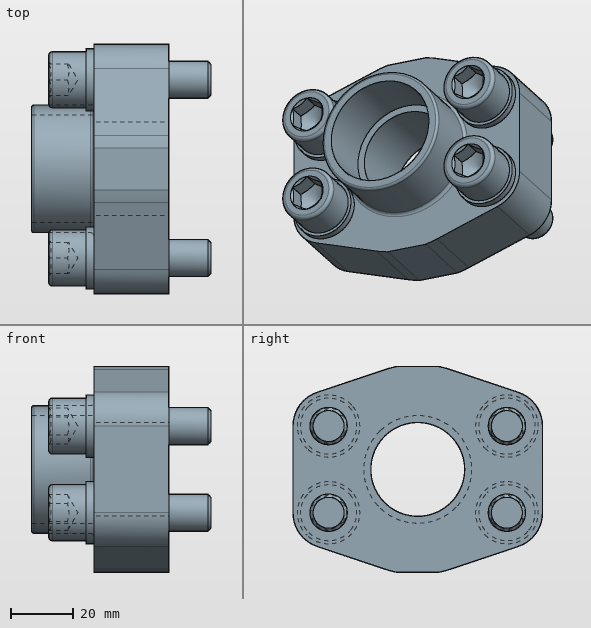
import cadquery as cq
import math

plate_thickness = 24.0
plate_width = 80.0
plate_height = 66.0
crown_radius = 33.7

neck_length = 20.0
neck_diameter = 41.0
neck_tip_fillet = 0.8
neck_root_fillet = 1.0
bore_diameter = 30.0
socket_diameter = 34.6

screw_pitch_y = 57.1
screw_pitch_z = 27.8
washer_diameter = 20.0
washer_thickness = 2.5
head_diameter = 18.0
head_height = 12.0
head_fillet = 1.2
shank_diameter = 12.0
shank_projection = 13.5
shank_chamfer = 1.0

key_across_flats = 10.0
key_depth = 6.0
key_mouth_angle = 90.0
key_tip_angle = 120.0

half_width = plate_width / 2
half_height = plate_height / 2
screw_y = screw_pitch_y / 2
screw_z = screw_pitch_z / 2
corner_radius = half_width - screw_y
key_corner_radius = key_across_flats / 2 / math.cos(math.radians(30))

head_seat_x = -washer_thickness
head_face_x = head_seat_x - head_height


def cylinder(diameter, start_x, end_x, y=0.0, z=0.0):
    """Solid cylinder along X, from start_x to end_x."""
    return (
        cq.Workplane("YZ", origin=(start_x, y, z))
        .circle(diameter / 2)
        .extrude(end_x - start_x)
    )


def cone(base_radius, base_x, length, y, z):
    """Solid cone along X that narrows from base_radius at base_x to a point."""
    solid = cq.Solid.makeCone(base_radius, 0, length, cq.Vector(base_x, y, z), cq.Vector(1, 0, 0))
    return cq.Workplane(obj=solid)


def make_plate():
    """Plate with corner arcs around the screws and crown arcs joined by tangent lines."""
    centre_distance = math.hypot(screw_y, screw_z)
    centre_angle = math.atan2(screw_z, screw_y)
    normal_angle = centre_angle + math.acos((crown_radius - corner_radius) / centre_distance)

    def on_corner(angle):
        return (screw_y + corner_radius * math.cos(angle), screw_z + corner_radius * math.sin(angle))

    def on_crown(angle):
        return (crown_radius * math.cos(angle), crown_radius * math.sin(angle))

    flat_angle = math.asin(half_height / crown_radius)
    quarter = (
        cq.Workplane("YZ")
        .lineTo(half_width, 0)
        .lineTo(half_width, screw_z)
        .threePointArc(on_corner(normal_angle / 2), on_corner(normal_angle))
        .lineTo(*on_crown(normal_angle))
        .threePointArc(on_crown((normal_angle + flat_angle) / 2), on_crown(flat_angle))
        .lineTo(0, half_height)
        .close()
        .extrude(plate_thickness)
    )
    upper_half = quarter.union(quarter.mirror("XZ"))
    return upper_half.union(upper_half.mirror("XY")).clean()


def make_neck():
    """Pipe neck with a rounded tip and a concave fillet where it meets the plate."""
    neck_radius = neck_diameter / 2
    arc_middle = 1 - math.sqrt(0.5)
    return (
        cq.Workplane("XY")
        .moveTo(-neck_length, 0)
        .lineTo(-neck_length, neck_radius - neck_tip_fillet)
        .threePointArc(
            (-neck_length + neck_tip_fillet * arc_middle, neck_radius - neck_tip_fillet * arc_middle),
            (-neck_length + neck_tip_fillet, neck_radius),
        )
        .lineTo(-neck_root_fillet, neck_radius)
        .threePointArc(
            (-neck_root_fillet * arc_middle, neck_radius + neck_root_fillet * arc_middle),
            (0, neck_radius + neck_root_fillet),
        )
        .lineTo(0, 0)
        .close()
        .revolve(360, (0, 0, 0), (1, 0, 0))
    )


def make_screw(y, z):
    """Washer, screw head and the shank end that projects behind the plate."""
    washer = cylinder(washer_diameter, head_seat_x, 0, y, z)
    head = cylinder(head_diameter, head_face_x, head_seat_x, y, z).faces("<X").edges().fillet(head_fillet)
    shank_end_x = plate_thickness + shank_projection
    shank = cylinder(shank_diameter, 0, shank_end_x, y, z).faces(">X").edges().chamfer(shank_chamfer)
    return washer.union(head).union(shank)


def make_keyway(y, z):
    """Hexagon socket with a conical mouth and a conical drill-point bottom."""
    bottom_x = head_face_x + key_depth
    tip_depth = key_corner_radius / math.tan(math.radians(key_tip_angle / 2))
    tip = cone(key_corner_radius, bottom_x, tip_depth, y, z)
    pilot_hole = cylinder(2 * key_corner_radius, head_face_x, bottom_x, y, z).union(tip)
    hexagon = (
        cq.Workplane("YZ", origin=(head_face_x, y, z))
        .transformed(rotate=(0, 0, 90))
        .polygon(6, 2 * key_corner_radius)
        .extrude(key_depth + tip_depth)
    )
    mouth_depth = key_corner_radius / math.tan(math.radians(key_mouth_angle / 2))
    mouth = cone(key_corner_radius, head_face_x, mouth_depth, y, z)
    return hexagon.intersect(pilot_hole).union(mouth)


screw_positions = [(y, z) for y in (-screw_y, screw_y) for z in (-screw_z, screw_z)]

result = make_plate().union(make_neck())
for y, z in screw_positions:
    result = result.union(make_screw(y, z))
for y, z in screw_positions:
    result = result.cut(make_keyway(y, z))
result = result.cut(cylinder(bore_diameter, -neck_length, plate_thickness))
result = result.cut(cylinder(socket_diameter, -neck_length, 0))